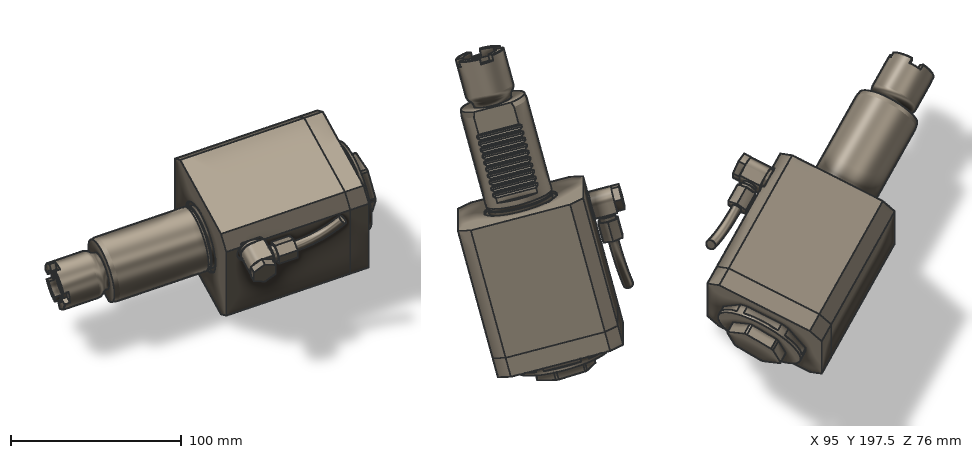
import cadquery as cq
import math


OVERALL_LENGTH = 197.5

BLOCK_WIDTH = 76.0
BLOCK_CHAMFER = 8.0
BLOCK_LENGTH = 91.0
COVER_THICKNESS = 11.9
HOUSING_LENGTH = BLOCK_LENGTH - COVER_THICKNESS

RECESS_DIAMETER = 44.3
RECESS_DEPTH = 1.4

SHANK_DIAMETER = 40.0
SHANK_END_DIAMETER = 38.7
SHANK_LENGTH = 63.5
SHANK_TIP_TAPER = 3.2
SHANK_ROOT_TAPER = 1.8
ROOT_GROOVE_START = 1.2
ROOT_GROOVE_WIDTH = 0.5
ROOT_GROOVE_DEPTH = 0.4

FLAT_DROP = 15.8
FLAT_START = 7.1
TOOTH_GAPS = 10
FIRST_GAP = 11.9
LAST_GAP = 48.0
GAP_DEPTH = 1.2
GAP_MOUTH = 3.4
GAP_FLOOR = 1.2

NECK_DIAMETER = 23.0
NECK_END = 64.0
FLARE_MIDDLE = 67.2
FLARE_END = 70.7
COUPLING_DIAMETER = 29.0
COUPLING_CHAMFER = 0.4
COUPLING_BORE = 20.0
COUPLING_BORE_DEPTH = 4.7
SLOT_COUNT = 4
SLOT_DEPTH = 3.5
SLOT_ANGLE = 31.0

NUT_DIAMETER = 55.0
NUT_ACROSS_FLATS = 50.0
NUT_LENGTH = 6.5
NUT_FLAT_LENGTH = 4.5
OUTPUT_DIAMETER = 36.0
OUTPUT_ACROSS_FLATS = 32.0
OUTPUT_LENGTH = 13.2
OUTPUT_TURN = 12.3

ELBOW_Y = 16.4
ELBOW_Z = 24.1
SPOT_FACE_DIAMETER = 18.8
SPOT_FACE_X = 36.5
COLLAR_DIAMETER = 14.5
COLLAR_END_X = 39.0
ELBOW_DIAMETER = 15.5
ELBOW_BACK_Y = 23.7
ELBOW_END_X = 52.5
PLUG_ACROSS_FLATS = 14.0
PLUG_END_X = 57.0

HOSE_X = 45.6
HOSE_NECK_DIAMETER = 8.3
HOSE_COLLAR_DIAMETER = 9.9
HOSE_COLLAR_Y = 25.5
HOSE_NUT_ACROSS_FLATS = 11.9
HOSE_NUT_START_Y = 27.9
HOSE_NUT_END_Y = 39.7
HOSE_DIAMETER = 6.0
HOSE_BEND_RADIUS = 47.0
HOSE_BEND_ANGLE = 41.0
HOSE_LEAN = 5.0

COUPLING_END = OVERALL_LENGTH - BLOCK_LENGTH - OUTPUT_LENGTH
HEX_CORNER_FACTOR = 1 / math.cos(math.radians(30))


def plane_across_y(y):
    """Plane at the given Y, facing +Y, with its local axes along -X and +Z."""
    return cq.Workplane(cq.Plane(origin=(0, y, 0), xDir=(-1, 0, 0), normal=(0, 1, 0)))


def plane_across_x(x):
    """Plane at the given X, facing +X, centred on the elbow axis, with its local axes along Y and Z."""
    return cq.Workplane(cq.Plane(origin=(x, ELBOW_Y, ELBOW_Z), xDir=(0, 1, 0), normal=(1, 0, 0)))


def chamfered_block(start_y, length):
    block = plane_across_y(start_y).rect(BLOCK_WIDTH, BLOCK_WIDTH).extrude(length)
    return block.edges("|Y").chamfer(BLOCK_CHAMFER)


def hexagon(plane, across_flats, length, turn=0.0):
    """Hexagonal prism with a corner on the local X axis, or turned from there by an angle in degrees."""
    corner_diameter = across_flats * HEX_CORNER_FACTOR
    return plane.transformed(rotate=(0, 0, turn)).polygon(6, corner_diameter).extrude(length)


def spindle_side():
    """Shank, neck and drive coupling, revolved about the spindle axis."""
    shank_radius = SHANK_DIAMETER / 2
    end_radius = SHANK_END_DIAMETER / 2
    groove_radius = end_radius - ROOT_GROOVE_DEPTH
    groove_end = ROOT_GROOVE_START + ROOT_GROOVE_WIDTH
    neck_radius = NECK_DIAMETER / 2
    coupling_radius = COUPLING_DIAMETER / 2
    flare_ratio = (FLARE_MIDDLE - NECK_END) / (FLARE_END - NECK_END)
    flare_radius = neck_radius + flare_ratio * (coupling_radius - neck_radius)
    profile = (
        cq.Workplane("XY")
        .moveTo(0, RECESS_DEPTH)
        .lineTo(end_radius, RECESS_DEPTH)
        .lineTo(end_radius, -ROOT_GROOVE_START)
        .lineTo(groove_radius, -ROOT_GROOVE_START)
        .lineTo(groove_radius, -groove_end)
        .lineTo(end_radius, -groove_end)
        .lineTo(shank_radius, -groove_end - SHANK_ROOT_TAPER)
        .lineTo(shank_radius, SHANK_TIP_TAPER - SHANK_LENGTH)
        .lineTo(end_radius, -SHANK_LENGTH)
        .lineTo(neck_radius, -SHANK_LENGTH)
        .lineTo(neck_radius, -NECK_END)
        .tangentArcPoint((flare_radius, -FLARE_MIDDLE), relative=False)
        .tangentArcPoint((coupling_radius, -FLARE_END), relative=False)
        .lineTo(coupling_radius, COUPLING_CHAMFER - COUPLING_END)
        .lineTo(coupling_radius - COUPLING_CHAMFER, -COUPLING_END)
        .lineTo(0, -COUPLING_END)
        .close()
    )
    return profile.revolve(360, (0, 0, 0), (0, 1, 0))


def flat_cutter():
    """Block that cuts the flat along the underside of the shank."""
    length = SHANK_LENGTH - FLAT_START
    height = SHANK_DIAMETER / 2 - FLAT_DROP
    return cq.Workplane("XY").box(SHANK_DIAMETER, length, height, centered=(True, False, False)).translate(
        (0, -SHANK_LENGTH, -FLAT_DROP - height)
    )


def tooth_gap_cutter(distance):
    """Trapezoidal groove across the flat, at a distance in front of the housing."""
    gap = (
        cq.Workplane("YZ")
        .moveTo(-distance - GAP_MOUTH / 2, -FLAT_DROP)
        .lineTo(-distance - GAP_FLOOR / 2, GAP_DEPTH - FLAT_DROP)
        .lineTo(-distance + GAP_FLOOR / 2, GAP_DEPTH - FLAT_DROP)
        .lineTo(-distance + GAP_MOUTH / 2, -FLAT_DROP)
        .close()
    )
    return gap.extrude(SHANK_DIAMETER / 2, both=True)


def coupling_slot_cutter(turn):
    """Wedge that cuts one slot through the coupling rim."""
    reach = COUPLING_DIAMETER
    angle = math.radians(SLOT_ANGLE)
    wedge = (
        plane_across_y(-COUPLING_END)
        .lineTo(reach, 0)
        .lineTo(reach * math.cos(angle), -reach * math.sin(angle))
        .close()
        .extrude(SLOT_DEPTH)
    )
    return wedge.rotate((0, 0, 0), (0, 1, 0), turn)


def make_housing():
    recess = plane_across_y(0).circle(RECESS_DIAMETER / 2).extrude(RECESS_DEPTH)
    housing = chamfered_block(0, HOUSING_LENGTH).cut(recess).union(spindle_side())

    housing = housing.cut(flat_cutter())
    gap_pitch = (LAST_GAP - FIRST_GAP) / (TOOTH_GAPS - 1)
    for index in range(TOOTH_GAPS):
        housing = housing.cut(tooth_gap_cutter(FIRST_GAP + index * gap_pitch))

    housing = housing.cut(plane_across_y(-COUPLING_END).circle(COUPLING_BORE / 2).extrude(COUPLING_BORE_DEPTH))
    for index in range(SLOT_COUNT):
        housing = housing.cut(coupling_slot_cutter(index * 360 / SLOT_COUNT))

    spot_face = plane_across_x(SPOT_FACE_X).circle(SPOT_FACE_DIAMETER / 2).extrude(BLOCK_WIDTH / 2 - SPOT_FACE_X)
    return housing.cut(spot_face)


def make_cover():
    cover = chamfered_block(HOUSING_LENGTH, COVER_THICKNESS)

    nut = plane_across_y(BLOCK_LENGTH).circle(NUT_DIAMETER / 2).extrude(NUT_FLAT_LENGTH)
    nut = nut.intersect(hexagon(plane_across_y(BLOCK_LENGTH), NUT_ACROSS_FLATS, NUT_FLAT_LENGTH))
    rim_start = BLOCK_LENGTH + NUT_FLAT_LENGTH
    rim = plane_across_y(rim_start).circle(NUT_DIAMETER / 2).extrude(NUT_LENGTH - NUT_FLAT_LENGTH)

    output = plane_across_y(BLOCK_LENGTH).circle(OUTPUT_DIAMETER / 2).extrude(OUTPUT_LENGTH)
    output = output.intersect(
        hexagon(plane_across_y(BLOCK_LENGTH), OUTPUT_ACROSS_FLATS, OUTPUT_LENGTH, -OUTPUT_TURN)
    )
    return cover.union(nut).union(rim).union(output)


def make_hose():
    """Hose that bends upward from the hose nut, leaning slightly toward +X."""
    hose = cq.Workplane("XZ").circle(HOSE_DIAMETER / 2)
    hose = hose.revolve(HOSE_BEND_ANGLE, (0, HOSE_BEND_RADIUS, 0), (1, HOSE_BEND_RADIUS, 0))
    return hose.rotate((0, 0, 0), (0, 1, 0), HOSE_LEAN).translate((HOSE_X, HOSE_NUT_END_Y, ELBOW_Z))


def make_coolant_fitting():
    length = ELBOW_END_X - COLLAR_END_X
    back_depth = ELBOW_BACK_Y - ELBOW_Y
    collar = plane_across_x(SPOT_FACE_X).circle(COLLAR_DIAMETER / 2).extrude(COLLAR_END_X - SPOT_FACE_X)
    round_front = plane_across_x(COLLAR_END_X).circle(ELBOW_DIAMETER / 2).extrude(length)
    square_back = (
        plane_across_x(COLLAR_END_X).center(back_depth / 2, 0).rect(back_depth, ELBOW_DIAMETER).extrude(length)
    )
    back_trim = (
        plane_across_x(COLLAR_END_X)
        .center(back_depth + ELBOW_DIAMETER / 2, 0)
        .rect(ELBOW_DIAMETER, ELBOW_DIAMETER)
        .extrude(length)
    )
    plug_plane = plane_across_x(ELBOW_END_X).transformed(rotate=(0, 0, 90))
    plug = hexagon(plug_plane, PLUG_ACROSS_FLATS, PLUG_END_X - ELBOW_END_X)
    fitting = round_front.union(square_back).cut(back_trim).union(collar).union(plug)

    neck = plane_across_y(ELBOW_BACK_Y).center(-HOSE_X, ELBOW_Z)
    neck = neck.circle(HOSE_NECK_DIAMETER / 2).extrude(HOSE_COLLAR_Y - ELBOW_BACK_Y)
    ring = plane_across_y(HOSE_COLLAR_Y).center(-HOSE_X, ELBOW_Z)
    ring = ring.circle(HOSE_COLLAR_DIAMETER / 2).extrude(HOSE_NUT_START_Y - HOSE_COLLAR_Y)
    nut_plane = plane_across_y(HOSE_NUT_START_Y).center(-HOSE_X, ELBOW_Z)
    nut = hexagon(nut_plane, HOSE_NUT_ACROSS_FLATS, HOSE_NUT_END_Y - HOSE_NUT_START_Y, 90)
    return fitting.union(neck).union(ring).union(nut).union(make_hose())


housing = make_housing()
cover = make_cover()
coolant_fitting = make_coolant_fitting()

result = cq.Compound.makeCompound([housing.val(), cover.val(), coolant_fitting.val()])